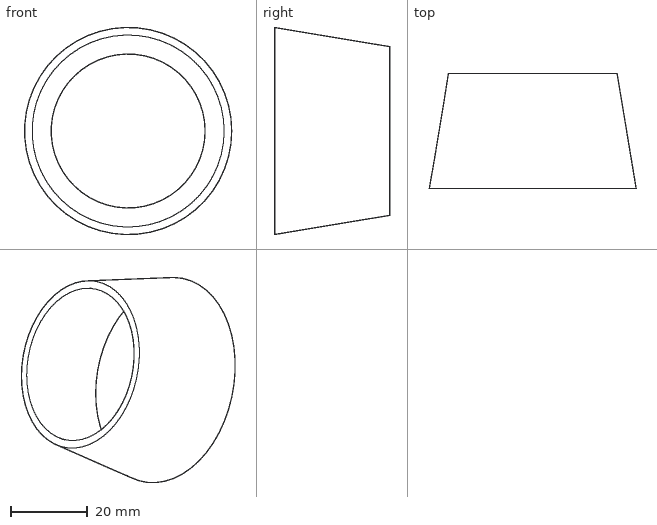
import cadquery as cq

wide_diameter = 54.0
narrow_diameter = 44.0
length = 30.0
wall = 2.0

wide_radius = wide_diameter / 2
narrow_radius = narrow_diameter / 2

wall_section = (
    cq.Workplane("XY")
    .moveTo(wide_radius - wall, 0)
    .lineTo(wide_radius, 0)
    .lineTo(narrow_radius, length)
    .lineTo(narrow_radius - wall, length)
    .close()
)

result = wall_section.revolve(360, (0, 0, 0), (0, 1, 0))